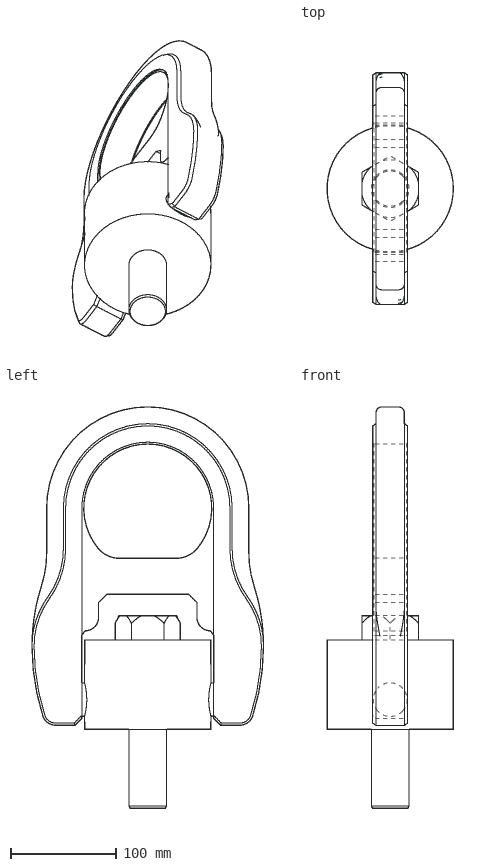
import cadquery as cq
import math

overall_height = 381.0
shackle_width = 219.8

stud_diameter = 35.8
stud_tip_chamfer = 1.0
base_diameter = 120.0
base_bottom = 75.0
base_top = 160.0
head_across_flats = 53.7
head_top = 183.0
head_top_radius = 27.5
head_bevel_height = 7.2

core_thickness = 27.0
shackle_thickness = 33.0
web_thickness = 30.5

bow_radius = 96.0
bow_center_z = overall_height - bow_radius
pad_bow_radius = 80.0
widest_z = 154.0
rim_neck_radius = 99.0
rim_cheek_radius = 186.5
pad_cheek_radius = 79.2
rim_fillet = 5.7
pad_edge_inset = 2.1

leg_bottom = 79.0
leg_flank_radius = 217.0
leg_corner_radius = 13.0
leg_bottom_inner_y = 69.0
leg_inner_y = 62.5
leg_inner_chamfer = 8.8

eye_radius = 60.5
eye_floor_z = 237.5
eye_corner_radius = 26.5
web_underside_z = 203.0
relief_half_width = 46.5
relief_chamfer = 7.5
lobe_radius = 13.0
lobe_center_z = 181.5
web_foot_z = 164.0

pin_radius = 16.0
pin_z = 103.2

half_width = shackle_width / 2


def neck_start_z(bow_half_width, neck_radius, cheek_radius):
    """Height where a neck arc leaves the straight side and runs tangent into the cheek arc."""
    center_distance = neck_radius + cheek_radius
    side_offset = center_distance - (half_width - bow_half_width)
    return widest_z + math.sqrt(center_distance**2 - side_offset**2)


def bow_outline(radius, neck_radius, cheek_radius):
    """Upper outline of the shackle, open between its two widest points."""
    neck_z = neck_start_z(radius, neck_radius, cheek_radius)
    blend = neck_radius / (neck_radius + cheek_radius)
    cheek_center_y = half_width - cheek_radius
    neck_center_y = radius + neck_radius
    joint_y = neck_center_y + blend * (cheek_center_y - neck_center_y)
    joint_z = neck_z + blend * (widest_z - neck_z)
    turn = math.asin((neck_z - widest_z) / (neck_radius + cheek_radius))
    neck_mid_y = neck_center_y - neck_radius * math.cos(turn / 2)
    neck_mid_z = neck_z - neck_radius * math.sin(turn / 2)
    cheek_mid_y = cheek_center_y + cheek_radius * math.cos(turn / 2)
    cheek_mid_z = widest_z + cheek_radius * math.sin(turn / 2)
    return (
        cq.Workplane("YZ")
        .moveTo(half_width, widest_z)
        .threePointArc((cheek_mid_y, cheek_mid_z), (joint_y, joint_z))
        .threePointArc((neck_mid_y, neck_mid_z), (radius, neck_z))
        .lineTo(radius, bow_center_z)
        .threePointArc((0, bow_center_z + radius), (-radius, bow_center_z))
        .lineTo(-radius, neck_z)
        .threePointArc((-neck_mid_y, neck_mid_z), (-joint_y, joint_z))
        .threePointArc((-cheek_mid_y, cheek_mid_z), (-half_width, widest_z))
    )


def flank_y(z):
    """Outer side of a leg at height z, below the widest point."""
    drop = widest_z - z
    return half_width - leg_flank_radius + math.sqrt(leg_flank_radius**2 - drop**2)


def make_rim():
    """Thinner core of the bow with its outer edges rounded."""
    outline = bow_outline(bow_radius, rim_neck_radius, rim_cheek_radius).close()
    rim = outline.extrude(core_thickness / 2, both=True)
    above_legs = cq.selectors.BoxSelector(
        (-shackle_thickness, -shackle_width, widest_z + rim_fillet),
        (shackle_thickness, shackle_width, 2 * overall_height),
    )
    return rim.faces("|X").edges(above_legs).fillet(rim_fillet)


def make_pads():
    """Full-thickness bow and legs, sloping inward along the outline beyond the core thickness."""
    mid_z = (widest_z + leg_bottom) / 2
    corner_y = flank_y(leg_bottom)
    chamfer_run = 2 * leg_inner_chamfer
    inner_y = leg_bottom_inner_y - chamfer_run
    inner_z = leg_bottom + chamfer_run
    core = (
        bow_outline(pad_bow_radius, pad_cheek_radius, pad_cheek_radius)
        .threePointArc((-flank_y(mid_z), mid_z), (-corner_y, leg_bottom))
        .lineTo(-leg_bottom_inner_y, leg_bottom)
        .lineTo(-inner_y, inner_z)
        .lineTo(inner_y, inner_z)
        .lineTo(leg_bottom_inner_y, leg_bottom)
        .lineTo(corner_y, leg_bottom)
        .threePointArc((flank_y(mid_z), mid_z), (half_width, widest_z))
        .close()
        .extrude(core_thickness / 2)
    )
    for side in (-1, 1):
        corner = cq.selectors.NearestToPointSelector((core_thickness / 4, side * corner_y, leg_bottom))
        core = core.edges(corner).fillet(leg_corner_radius)
    pad_height = (shackle_thickness - core_thickness) / 2
    slope = math.degrees(math.atan(pad_edge_inset / pad_height))
    half = core.faces(">X").wires().toPending().workplane().extrude(pad_height, taper=slope)
    return half.union(half.mirror("YZ"))


def arch_outline(radius, bottom_z):
    """Straight-sided arch, concentric with the bow."""
    return (
        cq.Workplane("YZ")
        .moveTo(radius, bottom_z)
        .lineTo(radius, bow_center_z)
        .threePointArc((0, bow_center_z + radius), (-radius, bow_center_z))
        .lineTo(-radius, bottom_z)
        .close()
    )


def make_eye():
    """Round lifting eye with a flat floor and rounded floor corners."""
    eye_circle = cq.Workplane("YZ").center(0, bow_center_z).circle(eye_radius)
    eye = eye_circle.extrude(shackle_thickness, both=True)
    below_floor = cq.Workplane("XY").box(
        4 * shackle_thickness, shackle_width, overall_height, centered=(True, True, False)
    )
    eye = eye.cut(below_floor.translate((0, 0, eye_floor_z - overall_height)))
    corner_y = math.sqrt(eye_radius**2 - (bow_center_z - eye_floor_z) ** 2)
    for side in (-1, 1):
        corner = cq.selectors.NearestToPointSelector((0, side * corner_y, eye_floor_z))
        eye = eye.edges(corner).fillet(eye_corner_radius)
    return eye


def make_head_relief():
    """Space under the web for the bolt head, narrowing upward past two rounded lobes."""
    diagonal = lobe_radius * math.sqrt(0.5)
    lobe_y = relief_half_width + lobe_radius
    lobe_z = lobe_center_z - lobe_radius
    chamfer_z = web_underside_z - relief_chamfer
    chamfer_y = relief_half_width - relief_chamfer
    return (
        cq.Workplane("YZ")
        .moveTo(leg_inner_y, web_foot_z)
        .lineTo(lobe_y, lobe_z)
        .threePointArc((lobe_y - diagonal, lobe_center_z - diagonal), (relief_half_width, lobe_center_z))
        .lineTo(relief_half_width, chamfer_z)
        .lineTo(chamfer_y, web_underside_z)
        .lineTo(-chamfer_y, web_underside_z)
        .lineTo(-relief_half_width, chamfer_z)
        .lineTo(-relief_half_width, lobe_center_z)
        .threePointArc((diagonal - lobe_y, lobe_center_z - diagonal), (-lobe_y, lobe_z))
        .lineTo(-leg_inner_y, web_foot_z)
        .close()
        .extrude(shackle_thickness, both=True)
    )


def make_shackle():
    """Rim, pads and web joined, with the space between the legs open at the bottom."""
    opening = arch_outline(leg_inner_y, 0).extrude(shackle_thickness, both=True)
    web = arch_outline(leg_inner_y, web_foot_z).extrude(web_thickness / 2, both=True)
    web = web.cut(make_eye()).cut(make_head_relief())
    return make_rim().union(make_pads()).cut(opening).union(web)


def make_bolt_and_base():
    """Round base with the stud below and the bevelled hexagon head above."""
    stud = cq.Workplane("XY").circle(stud_diameter / 2).extrude(base_top)
    stud = stud.faces("<Z").chamfer(2 * stud_tip_chamfer, stud_tip_chamfer)
    base_plane = cq.Workplane("XY").workplane(offset=base_bottom)
    base = base_plane.circle(base_diameter / 2).extrude(base_top - base_bottom)
    across_corners = head_across_flats / math.cos(math.pi / 6)
    hexagon = (
        cq.Workplane("XY")
        .workplane(offset=base_top)
        .polygon(6, across_corners)
        .extrude(head_top - base_top)
        .rotate((0, 0, 0), (0, 0, 1), 90)
    )
    bevel = (
        cq.Workplane("XZ")
        .moveTo(0, base_top)
        .lineTo(across_corners / 2, base_top)
        .lineTo(across_corners / 2, head_top - head_bevel_height)
        .lineTo(head_top_radius, head_top)
        .lineTo(0, head_top)
        .close()
        .revolve(360, (0, 0, 0), (0, 1, 0))
    )
    return stud.union(base).union(hexagon.intersect(bevel))


def make_pin():
    """One round bar through the base that reaches into both legs."""
    pin_circle = cq.Workplane("XZ").center(0, pin_z).circle(pin_radius)
    return pin_circle.extrude(leg_bottom_inner_y, both=True)


result = make_shackle().union(make_bolt_and_base()).union(make_pin())